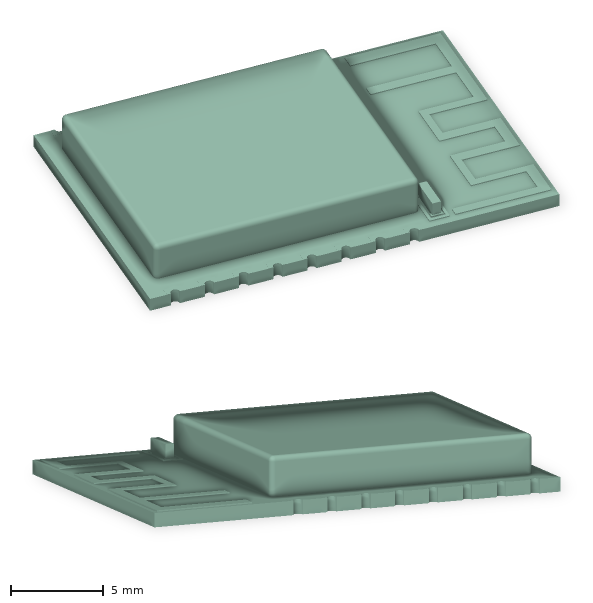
import cadquery as cq

board_width = 16.0
board_length = 24.0
board_thickness = 0.8
total_height = 3.0

shield_width = 13.0
shield_length = 15.53
shield_x = board_width / 2
shield_y = 8.7
shield_height = total_height - board_thickness
shield_edge_radius = 0.3

trace_height = 0.07
pad_height = 0.012

pad_count = 8
first_pad_y = 1.5
pad_row_span = 14.02
pad_pitch = pad_row_span / (pad_count - 1)
pad_depth = 0.48
pad_width = 1.0
castellation_radius = 0.26

antenna_top = board_length - 0.26
antenna_bar_bottom = board_length - 0.86
meander_top = board_length - 3.67
meander_bottom = board_length - 4.1
leg_bottom = board_length - 5.88

ground_leg = (0.26, 1.03)
feed_leg = (3.25, 3.85)
first_fall = (6.25, 6.75)
first_rise = (8.55, 9.15)
second_fall = (10.58, 11.18)
second_rise = (13.05, 13.5)
end_leg = (15.02, 15.53)

chip_x = 14.14
chip_y = board_length - 6.82
frame_width = 2.8
frame_length = 1.2
frame_line = 0.17
chip_width = 1.97
chip_length = 0.5
chip_height = 0.85
chip_pad_width = 0.26
chip_pad_length = 0.7
chip_pad_overhang = 0.1


def block(x, y, z, width, length, height):
    """Box with its front left bottom corner at (x, y, z)."""
    return cq.Workplane("XY").box(width, length, height, centered=False).translate((x, y, z))


def centred_block(x, y, width, length, height):
    """Box standing on the board, centred on (x, y)."""
    return block(x - width / 2, y - length / 2, board_thickness, width, length, height)


def make_shield():
    shield = centred_block(shield_x, shield_y, shield_width, shield_length, shield_height)
    return shield.edges("|Z or >Z").fillet(shield_edge_radius)


def antenna_strip(left, right, bottom, top):
    return block(left, bottom, board_thickness, right - left, top - bottom, trace_height)


def make_antenna():
    antenna = antenna_strip(ground_leg[0], first_fall[1], antenna_bar_bottom, antenna_top)
    for start, end in ((first_rise, second_fall), (second_rise, end_leg)):
        antenna = antenna.union(antenna_strip(start[0], end[1], antenna_bar_bottom, antenna_top))
    for start, end in ((first_fall, first_rise), (second_fall, second_rise)):
        antenna = antenna.union(antenna_strip(start[0], end[1], meander_bottom, meander_top))
    for left, right in (first_fall, first_rise, second_fall, second_rise):
        antenna = antenna.union(antenna_strip(left, right, meander_bottom, antenna_top))
    for left, right in (ground_leg, feed_leg, end_leg):
        antenna = antenna.union(antenna_strip(left, right, leg_bottom, antenna_top))
    return antenna.clean()


def make_chip():
    frame = centred_block(chip_x, chip_y, frame_width, frame_length, trace_height)
    opening_width = frame_width - 2 * frame_line
    opening_length = frame_length - 2 * frame_line
    opening = centred_block(chip_x, chip_y, opening_width, opening_length, trace_height)
    body = centred_block(chip_x, chip_y, chip_width, chip_length, chip_height)
    chip = frame.cut(opening).union(body)
    pad_offset = chip_width / 2 + chip_pad_overhang - chip_pad_width / 2
    for side in (-1, 1):
        pad_x = chip_x + side * pad_offset
        pad = centred_block(pad_x, chip_y, chip_pad_width, chip_pad_length, trace_height)
        chip = chip.union(pad)
    return chip


def add_castellated_pads(board):
    """Thin pads on both long edges, each with a half-round notch through the board."""
    for index in range(pad_count):
        y = first_pad_y + index * pad_pitch
        for edge_x, pad_x in ((0, 0), (board_width, board_width - pad_depth)):
            pad = block(pad_x, y - pad_width / 2, board_thickness, pad_depth, pad_width, pad_height)
            notch = cq.Workplane("XY").center(edge_x, y).circle(castellation_radius).extrude(total_height)
            board = board.union(pad).cut(notch)
    return board


board = add_castellated_pads(block(0, 0, 0, board_width, board_length, board_thickness))
result = board.union(make_antenna()).union(make_chip()).union(make_shield())